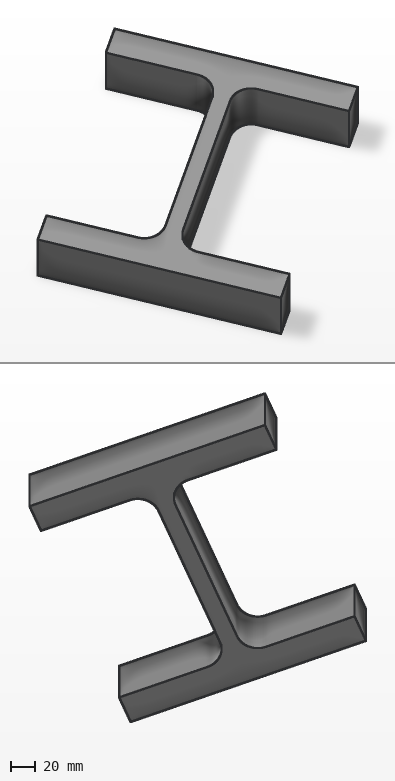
import cadquery as cq

section_depth = 220.0
flange_width = 206.0
beam_length = 50.0
flange_thickness = 25.0
web_thickness = 15.0
root_radius = 18.0

flange_offset = (section_depth - flange_thickness) / 2


def make_flange(side):
    """Flange plate on the +Y (side = 1) or -Y (side = -1) edge of the web."""
    return (
        cq.Workplane("XY")
        .center(0, side * flange_offset)
        .rect(flange_width, flange_thickness)
        .extrude(beam_length)
    )


result = cq.Workplane("XY").rect(web_thickness, 2 * flange_offset).extrude(beam_length)
for side in (-1, 1):
    result = result.union(make_flange(side))

inner_corner_box = cq.selectors.BoxSelector(
    (-web_thickness, -flange_offset, 0),
    (web_thickness, flange_offset, beam_length),
)
result = result.edges("|Z").edges(inner_corner_box).fillet(root_radius)